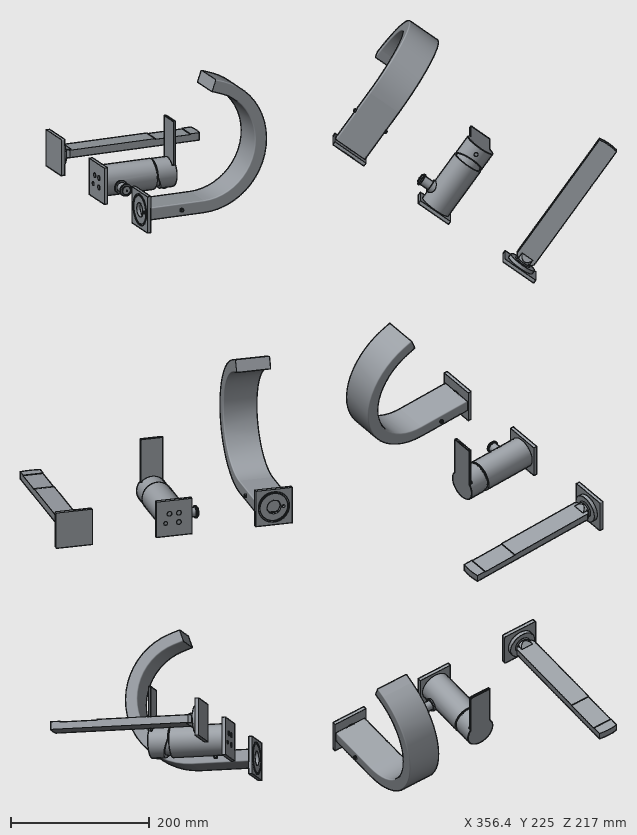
import cadquery as cq
import math


STATION_PITCH = 150.0
SHOWER_X = -STATION_PITCH
SPOUT_X = STATION_PITCH

PLATE_SIDE = 54.8
MIXER_PLATE_WIDTH = 53.5
PLATE_THICKNESS = 5.5
PLATE_CORNER_RADIUS = 1.8

ROSETTE_DIAMETER = 42.0
ROSETTE_TOP = 11.0
FORK_DIAMETER = 22.0
FLARE_DIAMETER = 25.0
FLARE_HEIGHT = 1.8
FORK_TIP = 22.8
FORK_SLOPE_START = 15.0

BAR_WIDTH = 30.3
BAR_THICKNESS = 11.5
BAR_START = 14.5
BAR_TIP = 225.0
BAR_TIP_BULGE = 1.5
BAR_CHAMFER_WIDTH = 3.0
BAR_CHAMFER_LENGTH = 4.0
SPRAY_START = 154.0
SPRAY_END = 209.3
SPRAY_DEPTH = 1.0

MIXER_DIAMETER = 45.5
MIXER_TOP = 85.8
NECK_BASE_RADIUS = 20.3
NECK_TOP_RADIUS = 17.8
NECK_TOP = 99.5
INLET_DIAMETER = 7.0
INLET_OFFSET = 7.0
SMALL_INLET_DIAMETER = 5.7
SMALL_INLET_X = -12.8
INLET_DEPTH = 0.5

KNOB_Y = 27.8
KNOB_Z = -5.5
KNOB_STEPS = [(19.2, 25.0), (14.2, 39.0), (17.8, 41.3), (12.8, 43.5), (1.5, 45.0)]

CAP_DIAMETER = 44.5
CAP_BOTTOM = 87.5
CAP_TOP = 117.5
SKIRT_RISE = 9.5
LEVER_SEAT_Y = 111.8
LEVER_SEAT_Z = 14.2
LEVER_WIDTH = 34.0
LEVER_THICKNESS = 3.5
LEVER_END_Z = 80.5
LEVER_CORNER_RADIUS = 1.8
LEVER_EDGE_CHAMFER = 0.7
CAP_RIM_CHAMFER = 0.7
PLUG_Y = 106.5
PLUG_DIAMETER = 5.7
PLUG_PROTRUSION = 1.5

SPOUT_WIDTH = 51.3
SPOUT_THICKNESS = 18.5
SPOUT_ARC_START = 90.0
SPOUT_MID_RADIUS = 90.5
SPOUT_END_ANGLE = 70.5
SPOUT_TIP_LENGTH = 15.3
SPOUT_EDGE_RADIUS = 1.8
SCREW_Y = 54.5
SCREW_DIAMETER = 5.5
SCREW_REACH = 29.0
SCREW_CHAMFER = 1.0
GROOVE_OUTER_DIAMETER = 46.5
GROOVE_INNER_DIAMETER = 42.0
GROOVE_DEPTH = 1.8
INLET_BORE_DIAMETER = 20.5
PIN_HOLE_DIAMETER = 4.3
PIN_HOLE_X = 14.2


def box(x_range, y_range, z_range):
    """Box between the given limits."""
    corner = (x_range[0], y_range[0], z_range[0])
    size = [high - low for low, high in (x_range, y_range, z_range)]
    return cq.Workplane("XY").box(*size, centered=False).translate(corner)


def upright_cylinder(diameter, start, end, x=0, z=0):
    """Cylinder whose axis runs along Y."""
    radius = diameter / 2
    return cq.Workplane(cq.Solid.makeCylinder(radius, end - start, cq.Vector(x, start, z), cq.Vector(0, 1, 0)))


def upright_cone(start_radius, end_radius, start, end):
    """Cone frustum whose axis is the Y axis."""
    base = cq.Vector(0, start, 0)
    return cq.Workplane(cq.Solid.makeCone(start_radius, end_radius, end - start, base, cq.Vector(0, 1, 0)))


def base_plate(width):
    half_width = width / 2
    half_side = PLATE_SIDE / 2
    return box((-half_width, half_width), (0, PLATE_THICKNESS), (-half_side, half_side))


def side_extrusion(profile, width):
    """Extrude a closed profile on the YZ plane evenly to both sides of X = 0."""
    return profile.extrude(width / 2, both=True)


def make_hand_shower():
    half_width = BAR_WIDTH / 2
    half_thickness = BAR_THICKNESS / 2
    bar = (
        cq.Workplane("XY", origin=(0, 0, -half_thickness))
        .moveTo(-half_width + BAR_CHAMFER_WIDTH, BAR_START)
        .lineTo(half_width - BAR_CHAMFER_WIDTH, BAR_START)
        .lineTo(half_width, BAR_START + BAR_CHAMFER_LENGTH)
        .lineTo(half_width, BAR_TIP - BAR_TIP_BULGE)
        .threePointArc((0, BAR_TIP), (-half_width, BAR_TIP - BAR_TIP_BULGE))
        .lineTo(-half_width, BAR_START + BAR_CHAMFER_LENGTH)
        .close()
        .extrude(BAR_THICKNESS)
    )
    spray_recess = box(
        (-half_width, half_width),
        (SPRAY_START, SPRAY_END),
        (half_thickness - SPRAY_DEPTH, half_thickness),
    )
    return bar.cut(spray_recess)


def make_shower_holder():
    fork_radius = FORK_DIAMETER / 2
    half_slot = BAR_THICKNESS / 2
    plate = base_plate(PLATE_SIDE).edges("|Y").fillet(PLATE_CORNER_RADIUS)
    rosette = upright_cylinder(ROSETTE_DIAMETER, PLATE_THICKNESS, ROSETTE_TOP)
    flare = upright_cone(FLARE_DIAMETER / 2, fork_radius, ROSETTE_TOP, ROSETTE_TOP + FLARE_HEIGHT)
    jaw_profile = (
        cq.Workplane("YZ")
        .polyline([
            (ROSETTE_TOP, -fork_radius),
            (FORK_SLOPE_START, -fork_radius),
            (FORK_TIP, -half_slot),
            (BAR_START, -half_slot),
            (BAR_START, half_slot),
            (FORK_TIP, half_slot),
            (FORK_SLOPE_START, fork_radius),
            (ROSETTE_TOP, fork_radius),
        ])
        .close()
    )
    fork = upright_cylinder(FORK_DIAMETER, ROSETTE_TOP, FORK_TIP)
    fork = fork.intersect(side_extrusion(jaw_profile, FORK_DIAMETER))
    return plate.union(rosette).union(flare).union(fork)


def make_neck():
    """Tapered neck that the handle turns on."""
    return upright_cone(NECK_BASE_RADIUS, NECK_TOP_RADIUS, MIXER_TOP, NECK_TOP)


def make_knob():
    """Stepped diverter knob, starting inside the mixer body."""
    knob = cq.Workplane("XY")
    start = 0
    for diameter, end in KNOB_STEPS:
        base = cq.Vector(start, KNOB_Y, KNOB_Z)
        step = cq.Solid.makeCylinder(diameter / 2, end - start, base, cq.Vector(1, 0, 0))
        knob = knob.union(cq.Workplane(step))
        start = end
    return knob


def make_mixer_body():
    body = base_plate(MIXER_PLATE_WIDTH)
    body = body.union(upright_cylinder(MIXER_DIAMETER, PLATE_THICKNESS, MIXER_TOP))
    body = body.union(make_neck()).union(make_knob())
    inlets = [
        (INLET_DIAMETER, -INLET_OFFSET, INLET_OFFSET),
        (INLET_DIAMETER, INLET_OFFSET, INLET_OFFSET),
        (INLET_DIAMETER, INLET_OFFSET, -INLET_OFFSET),
        (SMALL_INLET_DIAMETER, SMALL_INLET_X, -INLET_OFFSET),
    ]
    for diameter, x, z in inlets:
        body = body.cut(upright_cylinder(diameter, 0, INLET_DEPTH, x, z))
    return body


def make_handle():
    radius = CAP_DIAMETER / 2
    cap = upright_cylinder(CAP_DIAMETER, CAP_BOTTOM, CAP_TOP).faces(">Y").chamfer(CAP_RIM_CHAMFER)
    skirt_cut = (
        cq.Workplane("YZ")
        .polyline([(CAP_BOTTOM, 0), (CAP_BOTTOM, -radius), (CAP_BOTTOM + SKIRT_RISE, -radius)])
        .close()
    )
    cap = cap.cut(side_extrusion(skirt_cut, CAP_DIAMETER))
    cap = cap.cut(box((-radius, radius), (LEVER_SEAT_Y, CAP_TOP), (LEVER_SEAT_Z, radius)))
    cap = cap.cut(make_neck())

    half_lever = LEVER_WIDTH / 2
    lever = box((-half_lever, half_lever), (CAP_TOP - LEVER_THICKNESS, CAP_TOP), (0, LEVER_END_Z))
    lever = lever.edges("|Y and >Z").fillet(LEVER_CORNER_RADIUS)
    lever = lever.faces("<Y or >Y").edges("not <Z").chamfer(LEVER_EDGE_CHAMFER)

    plug_length = radius - NECK_TOP_RADIUS + PLUG_PROTRUSION
    plug_start = cq.Vector(0, PLUG_Y, -NECK_TOP_RADIUS)
    plug = cq.Solid.makeCylinder(PLUG_DIAMETER / 2, plug_length, plug_start, cq.Vector(0, 0, -1))
    return cap.union(lever).union(cq.Workplane(plug))


def on_spout_arc(radius, angle, advance=0):
    """Point of the arch in Y and Z, moved on along the tangent by the given advance."""
    y = SPOUT_ARC_START + radius * math.cos(angle) - advance * math.sin(angle)
    z = SPOUT_MID_RADIUS + radius * math.sin(angle) + advance * math.cos(angle)
    return (y, z)


def spout_tip_centre():
    return on_spout_arc(SPOUT_MID_RADIUS, math.radians(SPOUT_END_ANGLE), SPOUT_TIP_LENGTH)


def spout_profile():
    """Side outline: straight foot, tangent arc over the top, short straight tip."""
    end_angle = math.radians(SPOUT_END_ANGLE)
    inner_radius = SPOUT_MID_RADIUS - SPOUT_THICKNESS / 2
    outer_radius = SPOUT_MID_RADIUS + SPOUT_THICKNESS / 2
    return (
        cq.Workplane("YZ")
        .moveTo(PLATE_THICKNESS, -SPOUT_THICKNESS / 2)
        .lineTo(SPOUT_ARC_START, -SPOUT_THICKNESS / 2)
        .threePointArc(on_spout_arc(outer_radius, 0), on_spout_arc(outer_radius, end_angle))
        .lineTo(*on_spout_arc(outer_radius, end_angle, SPOUT_TIP_LENGTH))
        .lineTo(*on_spout_arc(inner_radius, end_angle, SPOUT_TIP_LENGTH))
        .lineTo(*on_spout_arc(inner_radius, end_angle))
        .threePointArc(on_spout_arc(inner_radius, 0), (SPOUT_ARC_START, SPOUT_THICKNESS / 2))
        .lineTo(PLATE_THICKNESS, SPOUT_THICKNESS / 2)
        .close()
    )


def make_spout():
    spout = side_extrusion(spout_profile(), SPOUT_WIDTH)
    tip = cq.selectors.NearestToPointSelector((0, *spout_tip_centre()))
    end_edges = spout.faces("<Y").edges().vals() + spout.faces(tip).edges().vals()
    long_edges = [edge for edge in spout.faces("<X or >X").edges().vals() if edge not in end_edges]
    spout = spout.newObject(long_edges).fillet(SPOUT_EDGE_RADIUS)
    spout = spout.union(base_plate(PLATE_SIDE))

    screws = (
        cq.Workplane("YZ", origin=(-SCREW_REACH, 0, 0))
        .center(SCREW_Y, 0)
        .circle(SCREW_DIAMETER / 2)
        .extrude(2 * SCREW_REACH)
        .edges()
        .chamfer(SCREW_CHAMFER)
    )
    spout = spout.union(screws)

    groove = upright_cylinder(GROOVE_OUTER_DIAMETER, 0, GROOVE_DEPTH)
    groove = groove.cut(upright_cylinder(GROOVE_INNER_DIAMETER, 0, GROOVE_DEPTH))
    bore = upright_cylinder(INLET_BORE_DIAMETER, 0, PLATE_THICKNESS)
    pin_hole = upright_cylinder(PIN_HOLE_DIAMETER, 0, PLATE_THICKNESS, PIN_HOLE_X)
    return spout.cut(groove).cut(bore).cut(pin_hole)


hand_shower = make_hand_shower().translate((SHOWER_X, 0, 0))
shower_holder = make_shower_holder().translate((SHOWER_X, 0, 0))
mixer_body = make_mixer_body()
handle = make_handle()
spout = make_spout().translate((SPOUT_X, 0, 0))

result = cq.Compound.makeCompound(
    [hand_shower.val(), shower_holder.val(), mixer_body.val(), handle.val(), spout.val()]
)